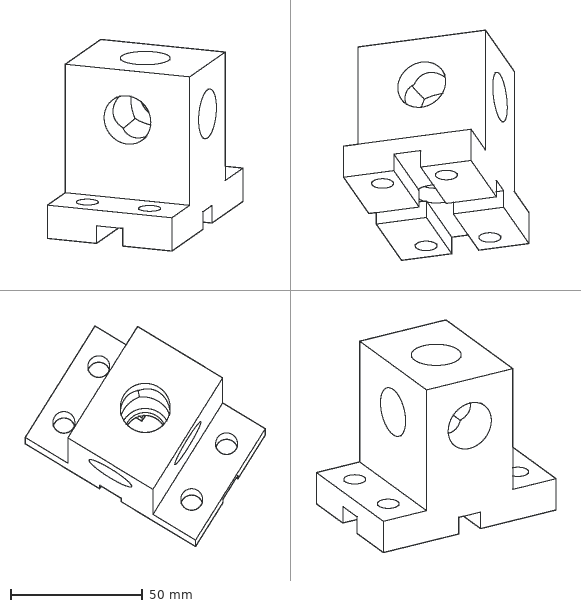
import cadquery as cq

BASE_WIDTH = 50.8
BASE_LENGTH = 76.2
BASE_HEIGHT = 13.21

BLOCK_LENGTH = 38.1
TOTAL_HEIGHT = 64.01

BORE_DIAMETER = 19.05
BORE_CENTRE_Z = 44.45

LEDGE_Z = BASE_HEIGHT
LOWER_BORE_DIAMETER = 15.875

SLOT_DEPTH = 7.0
SLOT_ALONG_Y_WIDTH = 10.72
SLOT_ALONG_X_WIDTH = 9.525

MOUNT_HOLE_DIAMETER = 8.33
MOUNT_SPACING_X = 25.4
MOUNT_SPACING_Y = (BASE_LENGTH + BLOCK_LENGTH) / 2


def standing_block(size_x, size_y, size_z):
    """Box centred on the Z axis, standing on the underside plane."""
    return cq.Workplane("XY").box(size_x, size_y, size_z, centered=(True, True, False))


def body():
    base = standing_block(BASE_WIDTH, BASE_LENGTH, BASE_HEIGHT)
    upright = standing_block(BASE_WIDTH, BLOCK_LENGTH, TOTAL_HEIGHT)
    return base.union(upright)


def cross_bore(plane, length):
    """Horizontal bore along the normal of the given plane, through the whole part."""
    return (
        cq.Workplane(plane, origin=(0, 0, BORE_CENTRE_Z))
        .circle(BORE_DIAMETER / 2)
        .extrude(length / 2, both=True)
    )


def upright_bore():
    """Stepped bore from the top face down to the slot roofs."""
    wide = (
        cq.Workplane("XY", origin=(0, 0, LEDGE_Z))
        .circle(BORE_DIAMETER / 2)
        .extrude(TOTAL_HEIGHT - LEDGE_Z)
    )
    narrow = (
        cq.Workplane("XY", origin=(0, 0, SLOT_DEPTH))
        .circle(LOWER_BORE_DIAMETER / 2)
        .extrude(LEDGE_Z - SLOT_DEPTH)
    )
    return wide.union(narrow)


def underside_slots():
    along_y = standing_block(SLOT_ALONG_Y_WIDTH, BASE_LENGTH, SLOT_DEPTH)
    along_x = standing_block(BASE_WIDTH, SLOT_ALONG_X_WIDTH, SLOT_DEPTH)
    return along_y.union(along_x)


def mounting_holes():
    return (
        cq.Workplane("XY")
        .rarray(MOUNT_SPACING_X, MOUNT_SPACING_Y, 2, 2)
        .circle(MOUNT_HOLE_DIAMETER / 2)
        .extrude(BASE_HEIGHT)
    )


result = (
    body()
    .cut(cross_bore("YZ", BASE_WIDTH))
    .cut(cross_bore("XZ", BLOCK_LENGTH))
    .cut(upright_bore())
    .cut(underside_slots())
    .cut(mounting_holes())
)